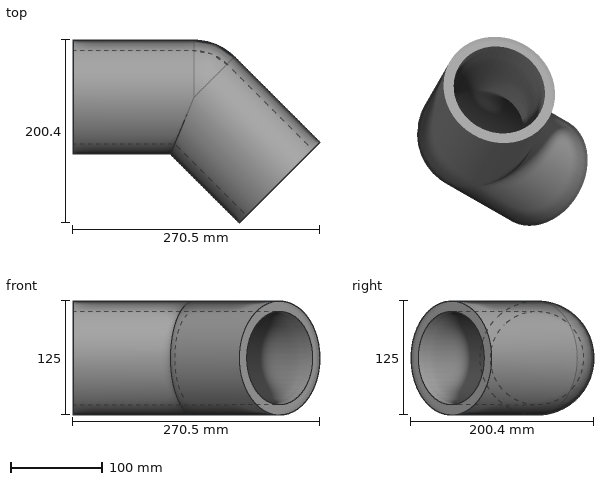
import cadquery as cq
import math

overall_length = 270.5
outer_diameter = 125.0
inner_diameter = 102.2
bend_angle = 45.0

outer_radius = outer_diameter / 2
inner_radius = inner_diameter / 2
bend = math.radians(bend_angle)

leg_length = (overall_length - outer_radius * math.sin(bend)) / (1 + math.cos(bend))

corner = cq.Vector(0, 0, 0)
straight_direction = cq.Vector(-1, 0, 0)
slanted_direction = cq.Vector(math.cos(bend), -math.sin(bend), 0)


def elbow_body(radius):
    """Solid elbow: a ball at the corner with a cylinder along each leg."""
    body = cq.Workplane("XY").sphere(radius)
    for direction in (straight_direction, slanted_direction):
        leg = cq.Solid.makeCylinder(radius, leg_length, corner, direction)
        body = body.union(cq.Workplane(obj=leg))
    return body


result = elbow_body(outer_radius).cut(elbow_body(inner_radius))